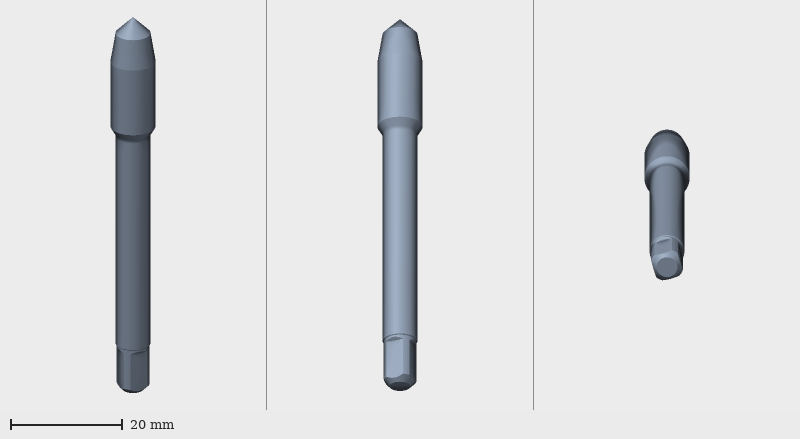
import cadquery as cq
import math

total_length = 73.1
body_diameter = 8.1
shank_diameter = 6.2
nose_diameter = 6.3

shank_bottom = 9.0
body_bottom = 51.7
body_top = 64.4
nose_base = total_length - nose_diameter / 2

neck_half_angle = math.radians(30)
neck_blend_radius = 1.3
neck_cone_height = (body_diameter - shank_diameter) / 2 / math.tan(neck_half_angle)
neck_corner = body_bottom - neck_cone_height
neck_tangent = neck_blend_radius * math.tan(neck_half_angle / 2)
blend_top_radius = shank_diameter / 2 + neck_tangent * math.sin(neck_half_angle)
blend_top = neck_corner + neck_tangent * math.cos(neck_half_angle)

square_width = 5.0
square_corner_diameter = 5.9
square_top = 8.05
end_diameter = 3.7

end_chamfer = (square_corner_diameter - end_diameter) / 2
shoulder_chamfer = (shank_diameter - square_corner_diameter) / 2


def turned_blank():
    """Revolve the half profile, given as radius and height, about Z."""
    return (
        cq.Workplane("XZ")
        .moveTo(0, 0)
        .lineTo(end_diameter / 2, 0)
        .lineTo(square_corner_diameter / 2, end_chamfer)
        .lineTo(square_corner_diameter / 2, shank_bottom - shoulder_chamfer)
        .lineTo(shank_diameter / 2, shank_bottom)
        .lineTo(shank_diameter / 2, neck_corner - neck_tangent)
        .tangentArcPoint((blend_top_radius, blend_top), relative=False)
        .lineTo(body_diameter / 2, body_bottom)
        .lineTo(body_diameter / 2, body_top)
        .lineTo(nose_diameter / 2, nose_base)
        .lineTo(0, total_length)
        .close()
        .revolve(360, (0, 0, 0), (0, 1, 0))
    )


def flat_cutter():
    """Remove one side of the drive, running out upward at 45 degrees."""
    inner = square_width / 2
    outer = body_diameter / 2
    return (
        cq.Workplane("XZ")
        .moveTo(inner, 0)
        .lineTo(outer, 0)
        .lineTo(outer, square_top + outer - inner)
        .lineTo(inner, square_top)
        .close()
        .extrude(body_diameter / 2, both=True)
    )


result = turned_blank()
flat_count = 4
for index in range(flat_count):
    angle = index * 360 / flat_count
    result = result.cut(flat_cutter().rotate((0, 0, 0), (0, 0, 1), angle))